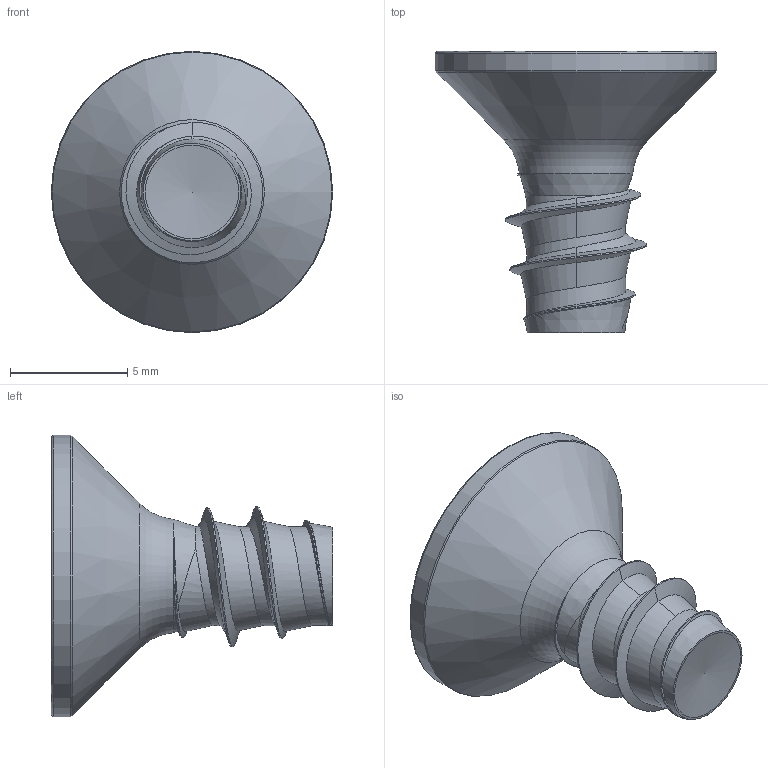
import cadquery as cq
import math

LENGTH = 12.0
HEAD_DIAMETER = 12.0
HEAD_RADIUS = HEAD_DIAMETER / 2
HEAD_Y = LENGTH / 2
TIP_Y = -LENGTH / 2

RIM_HEIGHT = 0.86
RIM_ROUND = 0.08
RIM_EDGE_BREAK = 0.03
FILLET_TOP_RADIUS = 3.09
RIM_Y = HEAD_Y - RIM_HEIGHT
FILLET_TOP_Y = RIM_Y - (HEAD_RADIUS - FILLET_TOP_RADIUS)

NECK_TOP_Y = 0.78
NECK_TOP_RADIUS = 2.42
NECK_BOTTOM_Y = -0.155
CORE_RADIUS = 2.115

TIP_RADIUS = 2.08
TIP_TAPER = 0.18
TIP_TAPER_HEIGHT = (CORE_RADIUS - TIP_RADIUS) / TIP_TAPER
TIP_TRIM_HEIGHT = 1.8
DISH_RADIUS = 1.99
DISH_DEPTH = 0.2

FULL_TURN = 360.0
PITCH = 2.13
RISE_PER_DEGREE = PITCH / FULL_TURN
REFERENCE_ANGLE = 450.0
REFERENCE_Y = -0.65
SECTIONS_PER_TURN = 12

MAX_CREST_RADIUS = 3.02
CREST_RISE_PER_TURN = 0.58
FULL_CREST_START = 515.0
FULL_CREST_END = 775.0
BLADE_START = 90.0
BLADE_EASE_END = 270.0
BLADE_END = 1350.0
CREST_HALF_WIDTH = 0.03
FLANK_WIDTH = 0.25
FLANK_DROP = 0.68
FLARE_START = (-0.16, 0.48)
FLARE_END = (-0.53, 1.0)
BLADE_ROOT_DROP = 1.3

BLADE_SECTION = [
    (-CREST_HALF_WIDTH, 0.0),
    (CREST_HALF_WIDTH, 0.0),
    (FLANK_WIDTH, FLANK_DROP),
    (FLANK_WIDTH, BLADE_ROOT_DROP),
    (FLARE_END[0], BLADE_ROOT_DROP),
    FLARE_END,
    FLARE_START,
]

RAMP_START = 90.0
RAMP_END = 1380.0
RAMP_INNER_RADIUS = 1.7
RAMP_TOP_RADIUS = 2.405
RAMP_SLOPE = 0.215
RAMP_HEAD_SIDE = -0.05
RAMP_TIP_SIDE = 1.55
RAMP_LOW_RADIUS = RAMP_TOP_RADIUS - RAMP_SLOPE * (RAMP_TIP_SIDE - RAMP_HEAD_SIDE)

RAMP_SECTION = [
    (RAMP_HEAD_SIDE, RAMP_INNER_RADIUS),
    (RAMP_HEAD_SIDE, RAMP_TOP_RADIUS),
    (RAMP_TIP_SIDE, RAMP_LOW_RADIUS),
    (RAMP_TIP_SIDE, RAMP_INNER_RADIUS),
]


def revolve_about_axis(profile):
    """Solid of revolution about Y from a closed profile of (radius, y)."""
    return profile.close().revolve(FULL_TURN, (0, 0), (0, 1))


def screw_body():
    """Head, neck and core without the thread."""
    profile = (
        cq.Workplane("XY")
        .moveTo(0, HEAD_Y)
        .lineTo(HEAD_RADIUS - RIM_ROUND, HEAD_Y)
        .tangentArcPoint((HEAD_RADIUS, HEAD_Y - RIM_ROUND), relative=False)
        .lineTo(HEAD_RADIUS, RIM_Y + RIM_EDGE_BREAK)
        .lineTo(HEAD_RADIUS - RIM_EDGE_BREAK, RIM_Y - RIM_EDGE_BREAK)
        .lineTo(FILLET_TOP_RADIUS, FILLET_TOP_Y)
        .tangentArcPoint((NECK_TOP_RADIUS, NECK_TOP_Y), relative=False)
        .lineTo(CORE_RADIUS, NECK_BOTTOM_Y)
        .lineTo(CORE_RADIUS, TIP_Y + TIP_TAPER_HEIGHT)
        .lineTo(TIP_RADIUS, TIP_Y)
        .lineTo(0, TIP_Y)
    )
    return revolve_about_axis(profile)


def helix_y(angle):
    """Height of the helix that the thread follows."""
    return REFERENCE_Y - RISE_PER_DEGREE * (angle - REFERENCE_ANGLE)


def blade_y(angle):
    """Crest height: the helix, eased at its start into the plane of the neck top."""
    if angle >= BLADE_EASE_END:
        return helix_y(angle)
    rise = NECK_TOP_Y - helix_y(BLADE_EASE_END)
    ease_span = 2 * rise / RISE_PER_DEGREE
    remaining = max(0.0, 1 - (BLADE_EASE_END - angle) / ease_span)
    return NECK_TOP_Y - rise * remaining**2


def crest_radius(angle):
    """Crest radius: rises at the neck, stays full, then fades toward the tip."""
    outside = max(FULL_CREST_START - angle, angle - FULL_CREST_END, 0.0)
    return MAX_CREST_RADIUS - CREST_RISE_PER_TURN * outside / FULL_TURN


def section_wire(angle, points):
    """Closed wire of (y, radius) points in the axial plane at an angle."""
    turn = math.radians(angle)
    corners = [cq.Vector(r * math.cos(turn), y, r * math.sin(turn)) for y, r in points]
    return cq.Wire.makePolygon(corners, close=True)


def blade_wire(angle):
    """Blade section at an angle."""
    y = blade_y(angle)
    crest = crest_radius(angle)
    return section_wire(angle, [(y - shift, crest - drop) for shift, drop in BLADE_SECTION])


def ramp_wire(angle):
    """Ramp section at an angle."""
    y = helix_y(angle)
    return section_wire(angle, [(y - shift, radius) for shift, radius in RAMP_SECTION])


def helical_turns(wire_at, start, end):
    """Smooth solids along the thread, one for each turn between two angles."""
    turns = []
    turn_start = start
    while turn_start < end:
        span = min(FULL_TURN, end - turn_start)
        steps = math.ceil(SECTIONS_PER_TURN * span / FULL_TURN)
        wires = [wire_at(turn_start + i * span / steps) for i in range(steps + 1)]
        turns.append(cq.Workplane(cq.Solid.makeLoft(wires, False)))
        turn_start += span
    return turns


def trim_disc(start_y):
    """Disc one pitch thick, from a plane across the axis toward +Y."""
    return cq.Workplane("XZ", origin=(0, start_y, 0)).circle(HEAD_RADIUS).extrude(-PITCH)


def ramp_tip_trim():
    """Ring outside the tip cone, where the last ramp turn is cut back."""
    top_y = TIP_Y + TIP_TRIM_HEIGHT
    top_radius = TIP_RADIUS + TIP_TAPER * TIP_TRIM_HEIGHT
    bottom_y = TIP_Y - PITCH
    profile = cq.Workplane("XY").polyline(
        [
            (TIP_RADIUS, TIP_Y),
            (top_radius, top_y),
            (HEAD_RADIUS, top_y),
            (HEAD_RADIUS, bottom_y),
            (TIP_RADIUS, bottom_y),
        ]
    )
    return revolve_about_axis(profile)


def tip_dish():
    """Shallow cone removed from the tip face."""
    profile = cq.Workplane("XY").polyline(
        [(0, TIP_Y), (DISH_RADIUS, TIP_Y), (0, TIP_Y + DISH_DEPTH)]
    )
    return revolve_about_axis(profile)


result = screw_body()

for ramp in helical_turns(ramp_wire, RAMP_START, RAMP_END):
    result = result.union(ramp.cut(ramp_tip_trim()), clean=False)

for blade in helical_turns(blade_wire, BLADE_START, BLADE_END):
    result = result.union(blade.cut(trim_disc(NECK_TOP_Y)), clean=False)

result = result.cut(trim_disc(TIP_Y - PITCH))
result = result.cut(tip_dish()).solids()